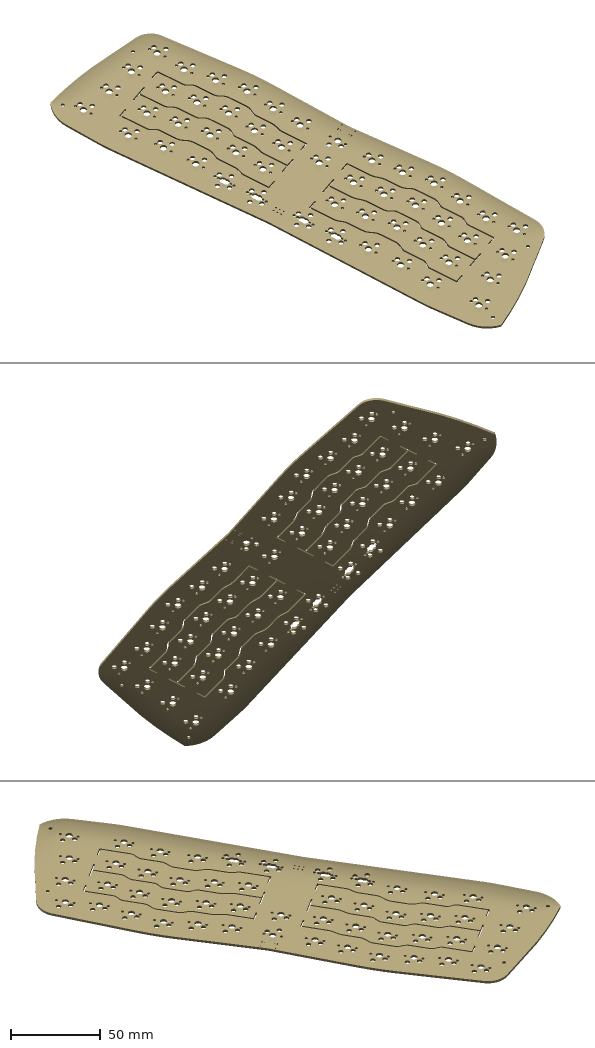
import cadquery as cq

THICKNESS = 1.6
KEY_PITCH = 19.05
STAGGER_STEP = KEY_PITCH / 20

BACK_EDGE_MIDDLE_Y = 41.52
FRONT_EDGE_MIDDLE_Y = -41.37
BACK_CREST = ((-51.9, 44.03), (-63.49, 44.26), (-75.06, 43.81))
BACK_CORNER = ((-123.68, 40.53), (-130.84, 37.72), (-135.07, 31.29))
SIDE_BEND = ((-143.94, -0.27), (-147.35, -17.6), (-149.24, -34.0))
FRONT_CORNER = (None, (-142.1, -40.2), (-133.0, -42.85))
FRONT_CREST = ((-110.84, -44.11), (-106.61, -44.25), (-102.38, -44.23))
OUTLINE_ARCS = [BACK_CREST, BACK_CORNER, SIDE_BEND, FRONT_CORNER, FRONT_CREST]

STEM_DIAMETER = 3.99
SIDE_PIN_DIAMETER = 1.75
SIDE_PIN_OFFSET = 5.08
CONTACT_DIAMETER = 3.0
CONTACT_OFFSETS = [(-3.81, 2.54), (2.54, 5.08)]

COLUMN_STAGGERS = [steps * STAGGER_STEP for steps in (-2, 1, 4, 1, -1)]
INNER_COLUMN_X = -1.25 * KEY_PITCH
COLUMN_XS = [INNER_COLUMN_X - index * KEY_PITCH for index in (4, 3, 2, 1, 0)]
TOP_ROW_Y = 1.5 * KEY_PITCH
BOTTOM_ROW_Y = -TOP_ROW_Y
ROW_YS = [TOP_ROW_Y - index * KEY_PITCH for index in (0, 1, 2)]

OUTER_KEYS = [
    (-6.25 * KEY_PITCH, TOP_ROW_Y),
    (-6.5 * KEY_PITCH, TOP_ROW_Y - KEY_PITCH),
    (-6.625 * KEY_PITCH, TOP_ROW_Y - 2 * KEY_PITCH),
    (-6.875 * KEY_PITCH, BOTTOM_ROW_Y),
]
BOTTOM_KEYS = [
    (COLUMN_XS[0], BOTTOM_ROW_Y + COLUMN_STAGGERS[0]),
    (-4.125 * KEY_PITCH, BOTTOM_ROW_Y + STAGGER_STEP),
    (-3 * KEY_PITCH, BOTTOM_ROW_Y + STAGGER_STEP),
]

THUMB_Y = BOTTOM_ROW_Y - STAGGER_STEP
THUMB_UPRIGHT_XS = [-2 * KEY_PITCH, -0.875 * KEY_PITCH]
THUMB_TURNED_SHIFT = KEY_PITCH / 8

MIDDLE_TURNED_Y = TOP_ROW_Y + STAGGER_STEP
MIDDLE_UPRIGHT_Y = TOP_ROW_Y - KEY_PITCH + STAGGER_STEP

SLOT_WIDTH = 0.9
SLOT_OUTER_X = -111.45
SLOT_INNER_X = -13.5
ROW_BRIDGE = 8.0
SLOT_CORNER_RADIUS = 1.5
SLOT_ROW_YS = [KEY_PITCH, 0, -KEY_PITCH]
SLOT_BENDS = [
    [(-95.0, -87.5), (-76.25, -68.0), (-56.25, -47.5), (-38.0, -28.75)],
    [(-95.25, -87.0), (-75.5, -68.25), (-56.25, -49.0), (-38.0, -28.75)],
    [(-94.0, -87.0), (-76.0, -67.0), (-57.0, -47.25), (-37.5, -29.5)],
]

SCREW_DIAMETER = 2.2
SCREW_POINTS = [(-130.75, 22.0), (-142.5, -31.9)]

HEADER_DIAMETER = 1.02
HEADER_PITCH = 2.54
HEADER_COLUMNS = 3
HEADER_ROWS = 2
HEADER_CENTER = (0.25, -31.52)

USB_PEG_X = 2.89
USB_PEG_Y = 36.7
USB_PEG_DIAMETER = 0.65
USB_TAB_X = 4.42
USB_TAB_WIDTH = 0.6
USB_FRONT_TAB_Y = USB_PEG_Y - 0.2
USB_FRONT_TAB_LENGTH = 1.7
USB_BACK_TAB_Y = USB_PEG_Y + 3.75
USB_BACK_TAB_LENGTH = 1.2
USB_TABS = [(USB_FRONT_TAB_Y, USB_FRONT_TAB_LENGTH), (USB_BACK_TAB_Y, USB_BACK_TAB_LENGTH)]


def make_board():
    half = cq.Workplane("XY").moveTo(0, BACK_EDGE_MIDDLE_Y)
    for start, middle, end in OUTLINE_ARCS:
        if start is not None:
            half = half.lineTo(*start)
        half = half.threePointArc(middle, end)
    half = half.lineTo(0, FRONT_EDGE_MIDDLE_Y).close().extrude(THICKNESS)
    return half.union(half.mirror("YZ"))


def mirrored(points):
    return points + [(-x, y) for x, y in points]


def drill(points, diameter):
    return cq.Workplane("XY").pushPoints(points).circle(diameter / 2).extrude(THICKNESS)


def switch_holes(centers, direction):
    """Holes of switches at the centers; direction is 1 for upright, -1 for turned half round."""
    pins = [(x + side * SIDE_PIN_OFFSET, y) for x, y in centers for side in (-1, 1)]
    contacts = [
        (x + direction * dx, y + direction * dy) for x, y in centers for dx, dy in CONTACT_OFFSETS
    ]
    return [
        drill(centers, STEM_DIAMETER),
        drill(pins, SIDE_PIN_DIAMETER),
        drill(contacts, CONTACT_DIAMETER),
    ]


def upright_centers():
    fingers = [(x, y + shift) for x, shift in zip(COLUMN_XS, COLUMN_STAGGERS) for y in ROW_YS]
    return mirrored(fingers + OUTER_KEYS + BOTTOM_KEYS)


def wavy_slot(row_y, bends):
    half_width = SLOT_WIDTH / 2
    levels = [row_y + shift for shift in COLUMN_STAGGERS]
    steps = list(zip(bends, levels, levels[1:]))
    outline = cq.Workplane("XY").moveTo(SLOT_OUTER_X - half_width, levels[0] + half_width)
    for (start_x, end_x), start_y, end_y in steps:
        outline = outline.lineTo(start_x, start_y + half_width).spline(
            [(end_x, end_y + half_width)], tangents=[(1, 0), (1, 0)], includeCurrent=True
        )
    outline = outline.lineTo(SLOT_INNER_X + half_width, levels[-1] + half_width)
    outline = outline.lineTo(SLOT_INNER_X + half_width, levels[-1] - half_width)
    for (start_x, end_x), start_y, end_y in reversed(steps):
        outline = outline.lineTo(end_x, end_y - half_width).spline(
            [(start_x, start_y - half_width)], tangents=[(-1, 0), (-1, 0)], includeCurrent=True
        )
    outline = outline.lineTo(SLOT_OUTER_X - half_width, levels[0] - half_width)
    return outline.close().extrude(THICKNESS)


def end_slot(x, bottom, top):
    plane = cq.Workplane("XY").center(x, (bottom + top) / 2)
    return plane.rect(SLOT_WIDTH, top - bottom).extrude(THICKNESS)


def flexure_slots():
    slots = wavy_slot(SLOT_ROW_YS[0], SLOT_BENDS[0])
    for row_y, bends in zip(SLOT_ROW_YS[1:], SLOT_BENDS[1:]):
        slots = slots.union(wavy_slot(row_y, bends))
    reach = (KEY_PITCH - ROW_BRIDGE) / 2
    half_width = SLOT_WIDTH / 2
    for x, shift in [(SLOT_OUTER_X, COLUMN_STAGGERS[0]), (SLOT_INNER_X, COLUMN_STAGGERS[-1])]:
        top, middle, bottom = [y + shift for y in SLOT_ROW_YS]
        slots = slots.union(end_slot(x, top - reach, top + half_width))
        slots = slots.union(end_slot(x, middle - reach, middle + reach))
        slots = slots.union(end_slot(x, bottom - half_width, bottom + reach))
    corner_y = SLOT_ROW_YS[0] + COLUMN_STAGGERS[0] + half_width
    corner = (SLOT_OUTER_X - half_width, corner_y, THICKNESS / 2)
    slots = slots.edges(cq.NearestToPointSelector(corner)).fillet(SLOT_CORNER_RADIUS)
    inside = (corner[0] + SLOT_WIDTH, corner[1] - SLOT_WIDTH, corner[2])
    slots = slots.edges(cq.NearestToPointSelector(inside)).fillet(SLOT_CORNER_RADIUS - SLOT_WIDTH)
    return [slots, slots.mirror("YZ")]


def header_holes():
    grid = cq.Workplane("XY").center(*HEADER_CENTER)
    grid = grid.rarray(HEADER_PITCH, HEADER_PITCH, HEADER_COLUMNS, HEADER_ROWS)
    return [grid.circle(HEADER_DIAMETER / 2).extrude(THICKNESS)]


def usb_holes():
    holes = [drill(mirrored([(-USB_PEG_X, USB_PEG_Y)]), USB_PEG_DIAMETER)]
    for y, length in USB_TABS:
        tabs = cq.Workplane("XY").pushPoints(mirrored([(-USB_TAB_X, y)]))
        holes.append(tabs.slot2D(length, USB_TAB_WIDTH, 90).extrude(THICKNESS))
    return holes


thumb_upright = [(x, THUMB_Y) for x in THUMB_UPRIGHT_XS]
thumb_upright += [(-x - THUMB_TURNED_SHIFT, y) for x, y in thumb_upright]
thumb_turned = [(x + THUMB_TURNED_SHIFT, y) for x, y in thumb_upright]

cutters = switch_holes(upright_centers() + [(0, MIDDLE_UPRIGHT_Y)], 1)
cutters += switch_holes(thumb_upright, 1)
cutters += switch_holes(thumb_turned + [(0, MIDDLE_TURNED_Y)], -1)
cutters += flexure_slots()
cutters += header_holes()
cutters += usb_holes()
cutters.append(drill(mirrored(SCREW_POINTS), SCREW_DIAMETER))

result = make_board()
for cutter in cutters:
    result = result.cut(cutter)